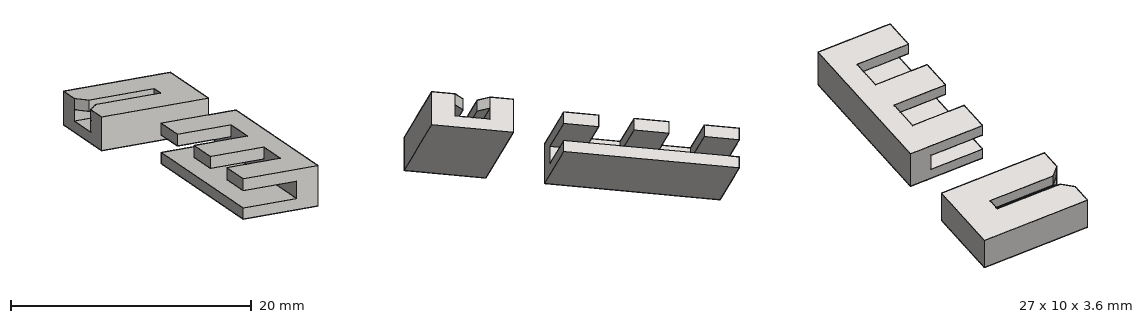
import cadquery as cq

total_length = 27.0
block_width = 7.0
block_depth = 10.0
block_height = 3.0
floor_thickness = 1.0
wall_thickness = 2.0

cavity_width = block_width - 2 * wall_thickness
cavity_height = 1.0
cavity_depth = block_depth - wall_thickness
slot_width = 1.2
slot_depth = 7.0
lead_in = (cavity_width - slot_width) / 2

clip_length = 15.0
clip_depth = 7.0
clip_height = 3.6
finger_thickness = 1.05
finger_count = 3
gap_count = finger_count - 1
finger_width = clip_length / (finger_count + gap_count)
clip_left = total_length - clip_length
clip_front = block_depth - clip_depth
clip_opening_depth = clip_depth - wall_thickness


def box_at(x, y, z, length, depth, height):
    """Box whose left, front, bottom corner is at (x, y, z)."""
    return cq.Workplane("XY").box(length, depth, height, centered=False).translate((x, y, z))


def make_block():
    """Block with a blind T-slot that is open at the front and top."""
    block = box_at(0, 0, 0, block_width, block_depth, block_height)
    cavity = box_at(wall_thickness, 0, floor_thickness, cavity_width, cavity_depth, cavity_height)

    middle = block_width / 2
    half_slot = slot_width / 2
    half_mouth = cavity_width / 2
    slot_floor = floor_thickness + cavity_height
    slot = (
        cq.Workplane("XY", origin=(middle, 0, slot_floor))
        .moveTo(-half_mouth, 0)
        .lineTo(half_mouth, 0)
        .lineTo(half_slot, lead_in)
        .lineTo(half_slot, slot_depth)
        .lineTo(-half_slot, slot_depth)
        .lineTo(-half_slot, lead_in)
        .close()
        .extrude(block_height - slot_floor)
    )
    return block.cut(cavity).cut(slot)


def make_clip():
    """C-shaped clip whose upper plate is split into fingers."""
    clip = box_at(clip_left, clip_front, 0, clip_length, clip_depth, clip_height)

    opening_height = clip_height - floor_thickness - finger_thickness
    clip = clip.cut(
        box_at(clip_left, clip_front, floor_thickness, clip_length, clip_opening_depth, opening_height)
    )

    finger_bottom = clip_height - finger_thickness
    for index in range(gap_count):
        gap_left = clip_left + (2 * index + 1) * finger_width
        clip = clip.cut(
            box_at(gap_left, clip_front, finger_bottom, finger_width, clip_opening_depth, finger_thickness)
        )
    return clip


block = make_block()
clip = make_clip()
result = cq.Compound.makeCompound([block.val(), clip.val()])